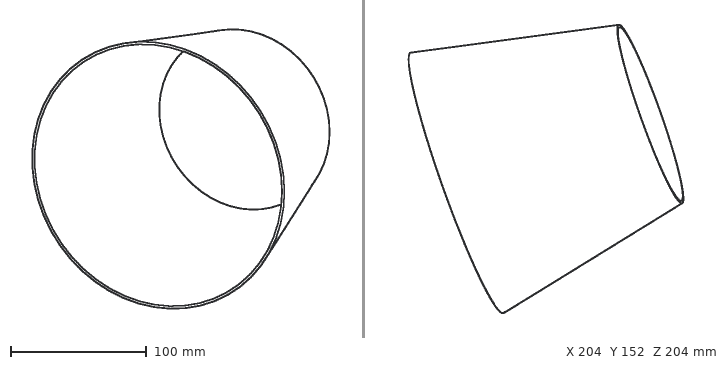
import cadquery as cq

wide_diameter = 204.0
narrow_diameter = 139.7
length = 152.0
wall = 2.0

wide_radius = wide_diameter / 2
narrow_radius = narrow_diameter / 2

wall_section = (
    cq.Workplane("XY")
    .moveTo(wide_radius - wall, -length / 2)
    .lineTo(wide_radius, -length / 2)
    .lineTo(narrow_radius, length / 2)
    .lineTo(narrow_radius - wall, length / 2)
    .close()
)

result = wall_section.revolve(360, (0, 0, 0), (0, 1, 0))